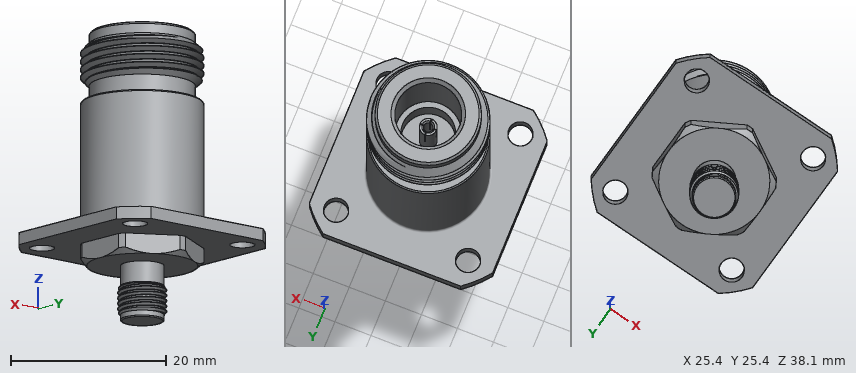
import cadquery as cq
import math


total_height = 38.1
flange_bottom = 9.85
flange_thickness = 1.6
flange_top = flange_bottom + flange_thickness
hex_bottom = 7.3
barrel_top = 28.85

barrel_radius = 7.95
barrel_edge_chamfer = 0.2
barrel_base_fillet = 0.25

flange_side = 25.4
flange_corner_radius = 15.9
mount_spacing = 18.3
mount_diameter = 3.25

hex_across_flats = 14.3
hex_corner_radius = 8.0
hex_chamfer_radial = 0.85
hex_chamfer_height = 0.7

jack_radius = 6.85
jack_edge_chamfer = 0.3
jack_thread_radius = barrel_radius
jack_thread_depth = 0.72
jack_thread_bottom = 31.1
jack_thread_top = 36.58
jack_thread_turns = 5.2
jack_thread_pitch = (jack_thread_top - jack_thread_bottom) / jack_thread_turns
jack_thread_taper = 0.95
jack_thread_phase_height = 33.9

small_radius = 2.82
small_edge_chamfer = 0.15
small_thread_radius = 3.15
small_thread_depth = 0.3
small_thread_bottom = 0.8
small_thread_top = 4.6
small_thread_turns = 5.4
small_thread_pitch = (small_thread_top - small_thread_bottom) / small_thread_turns
small_thread_taper = 0.35
small_thread_phase_height = 3.45

socket_radius = 4.3
socket_chamfer = 0.5
socket_depth = 9.15
inner_bore_radius = 3.55
inner_bore_depth = 12.2

contact_radius = 1.15
contact_tip_depth = 6.1
contact_hole_radius = 0.6
contact_hole_chamfer = 0.23
contact_hole_depth = 4.57
contact_slot_width = 0.1
contact_slot_depth = 3.05

thread_crest_width = 0.08
thread_root_width = 0.08
thread_clearance = 0.08


def revolve_profile(points):
    """Solid of revolution about Z from (radius, height) points."""
    return cq.Workplane("XZ").polyline(points).close().revolve(360, (0, 0), (0, 1))


def cylinder(radius, bottom, top):
    return cq.Workplane("XY").workplane(offset=bottom).circle(radius).extrude(top - bottom)


def groove_turn(radius, depth, pitch):
    """One turn of a right-hand groove with sloped walls, starting at height zero on the +X side."""
    root_radius = radius - depth
    outer_radius = radius + thread_clearance
    mouth_half_width = (pitch - thread_crest_width) / 2
    root_half_width = thread_root_width / 2
    wall_slope = (mouth_half_width - root_half_width) / depth
    outer_half_width = mouth_half_width + thread_clearance * wall_slope
    helix = cq.Wire.makeHelix(pitch, pitch, radius)
    section = [
        (root_radius, -root_half_width),
        (outer_radius, -outer_half_width),
        (outer_radius, outer_half_width),
        (root_radius, root_half_width),
    ]
    return cq.Workplane("XZ").polyline(section).close().sweep(cq.Workplane(obj=helix), isFrenet=True)


def threaded_collar(radius, depth, pitch, bottom, top, core_radius, taper, phase_height):
    """Collar with tapered ends and a helical thread."""
    blank = revolve_profile([
        (0, bottom),
        (core_radius, bottom),
        (radius, bottom + taper),
        (radius, top - taper),
        (core_radius, top),
        (0, top),
    ])
    turn = groove_turn(radius, depth, pitch)
    first_turn = math.floor((bottom - phase_height) / pitch) - 1
    last_turn = math.ceil((top - phase_height) / pitch)
    for index in range(first_turn, last_turn + 1):
        blank = blank.cut(turn.translate((0, 0, phase_height + index * pitch)))
    return blank


def make_flange():
    square = cq.Workplane("XY").workplane(offset=flange_bottom).rect(flange_side, flange_side)
    plate = square.extrude(flange_thickness)
    plate = plate.intersect(cylinder(flange_corner_radius, flange_bottom, flange_top))
    mounts = plate.faces(">Z").workplane().rect(mount_spacing, mount_spacing, forConstruction=True)
    return mounts.vertices().hole(mount_diameter)


def make_hex():
    """Hex with flats on the X sides, corners turned round, lower edge chamfered."""
    sharp_diameter = hex_across_flats / math.cos(math.radians(30))
    plane = cq.Workplane("XY", origin=(0, 0, hex_bottom)).transformed(rotate=(0, 0, 30))
    prism = plane.polygon(6, sharp_diameter).extrude(flange_bottom - hex_bottom)
    envelope = revolve_profile([
        (0, hex_bottom),
        (hex_corner_radius - hex_chamfer_radial, hex_bottom),
        (hex_corner_radius, hex_bottom + hex_chamfer_height),
        (hex_corner_radius, flange_bottom),
        (0, flange_bottom),
    ])
    return prism.intersect(envelope)


def make_barrel():
    """Barrel with a concave fillet onto the flange and a broken upper edge."""
    profile = (
        cq.Workplane("XZ")
        .moveTo(0, flange_top)
        .lineTo(barrel_radius + barrel_base_fillet, flange_top)
        .radiusArc((barrel_radius, flange_top + barrel_base_fillet), barrel_base_fillet)
        .lineTo(barrel_radius, barrel_top - barrel_edge_chamfer)
        .lineTo(barrel_radius - barrel_edge_chamfer, barrel_top)
        .lineTo(0, barrel_top)
        .close()
    )
    return profile.revolve(360, (0, 0), (0, 1))


def make_large_jack():
    core = cylinder(jack_radius, barrel_top, total_height).faces(">Z").chamfer(jack_edge_chamfer)
    collar = threaded_collar(
        jack_thread_radius, jack_thread_depth, jack_thread_pitch, jack_thread_bottom,
        jack_thread_top, jack_radius, jack_thread_taper, jack_thread_phase_height,
    )
    return core.union(collar)


def make_small_jack():
    core = cylinder(small_radius, 0, hex_bottom).faces("<Z").chamfer(small_edge_chamfer)
    collar = threaded_collar(
        small_thread_radius, small_thread_depth, small_thread_pitch, small_thread_bottom,
        small_thread_top, small_radius, small_thread_taper, small_thread_phase_height,
    )
    return core.union(collar)


def make_socket():
    """Stepped void with a chamfered mouth."""
    shoulder = total_height - socket_depth
    floor = total_height - inner_bore_depth
    return revolve_profile([
        (0, floor),
        (inner_bore_radius, floor),
        (inner_bore_radius, shoulder),
        (socket_radius, shoulder),
        (socket_radius, total_height - socket_chamfer),
        (socket_radius + socket_chamfer, total_height),
        (0, total_height),
    ])


def make_contact():
    """Slotted female pin standing on the socket floor."""
    tip = total_height - contact_tip_depth
    pin = cylinder(contact_radius, total_height - inner_bore_depth, tip)
    hole = revolve_profile([
        (0, tip - contact_hole_depth),
        (contact_hole_radius, tip - contact_hole_depth),
        (contact_hole_radius, tip - contact_hole_chamfer),
        (contact_hole_radius + contact_hole_chamfer, tip),
        (0, tip),
    ])
    pin = pin.cut(hole)
    for angle in (0, 90):
        slot = (
            cq.Workplane("XY", origin=(0, 0, tip))
            .transformed(rotate=(0, 0, angle))
            .rect(2 * contact_radius, contact_slot_width)
            .extrude(-contact_slot_depth)
        )
        pin = pin.cut(slot)
    return pin


body = make_flange().union(make_hex()).union(make_barrel())
body = body.union(make_large_jack()).union(make_small_jack())
result = body.cut(make_socket()).union(make_contact())